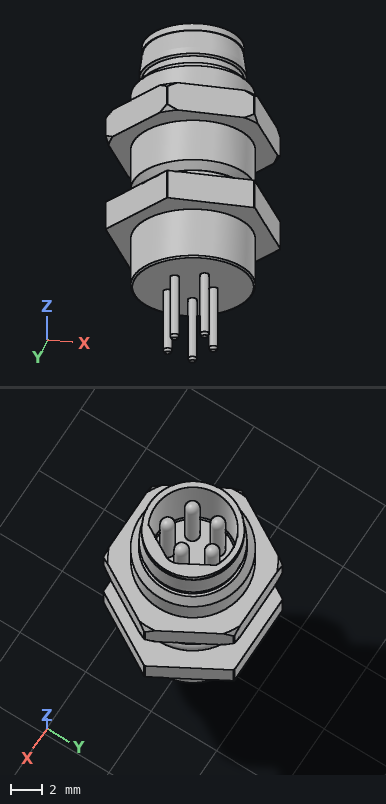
import cadquery as cq
import math

TOTAL_HEIGHT = 22.0
BODY_BOTTOM_Z = 4.49
FLANGE_BOTTOM_Z = 7.99
NUT_BOTTOM_Z = 14.5
HEX_THICKNESS = 2.0
FLANGE_TOP_Z = FLANGE_BOTTOM_Z + HEX_THICKNESS
GROOVE_TOP_Z = 11.1
BODY_TOP_Z = 19.0
BAND_BOTTOM_Z = 19.71
BAND_TOP_Z = 20.17
TAPER_TOP_Z = 21.3
LIP_BOTTOM_Z = 21.5

BODY_RADIUS = 8.0 / 2
BODY_BOTTOM_CHAMFER = 0.1
GROOVE_RADIUS = 6.8 / 2
SHOULDER_CHAMFER = 0.5
SHOULDER_RADIUS = BODY_RADIUS - SHOULDER_CHAMFER
NECK_RADIUS = 6.6 / 2
BAND_RADIUS = 6.9 / 2
BAND_UNDERCUT_HEIGHT = 0.1
TAPER_TOP_RADIUS = 6.6 / 2
LIP_RADIUS = 6.6 / 2
LIP_GROOVE_RADIUS = 6.5 / 2

RING_SECTION_RADIUS = 1.0 / 2
RING_CENTER_RADIUS = BODY_RADIUS - RING_SECTION_RADIUS
RING_Z = (FLANGE_TOP_Z + GROOVE_TOP_Z) / 2

ACROSS_FLATS = 10.0
HEX_CORNER_RADIUS = 11.5 / 2
NUT_CHAMFER_WIDTH = 0.29
NUT_CHAMFER_HEIGHT = 0.33

SOCKET_RADIUS = 2.88
SOCKET_DEPTH = 5.5
SOCKET_FLOOR_CHAMFER = 0.1
KEY_CORNER_X = 1.28
KEY_POINT_HALF_ANGLE = math.radians(60)
KEY_TIP_RADIUS = 1.0

CONTACT_RADIUS = 1.0 / 2
CONTACT_TOP_Z = 21.7
CONTACT_ROOT_DEPTH = 0.22
TAIL_RADIUS = 0.6 / 2
TAIL_TIP_RADIUS = 0.2
TAIL_TIP_HEIGHT = 0.2
PIN_CIRCLE_RADIUS = 1.74
PIN_CIRCLE_ANGLES = (78, 146, 214, 282)
KEY_PIN_X = 1.35


def make_body():
    """Turned body with the groove for the sealing ring and the snap-on collar."""
    profile = [
        (0, BODY_BOTTOM_Z),
        (BODY_RADIUS - BODY_BOTTOM_CHAMFER, BODY_BOTTOM_Z),
        (BODY_RADIUS, BODY_BOTTOM_Z + BODY_BOTTOM_CHAMFER),
        (BODY_RADIUS, FLANGE_TOP_Z),
        (GROOVE_RADIUS, FLANGE_TOP_Z),
        (GROOVE_RADIUS, GROOVE_TOP_Z),
        (SHOULDER_RADIUS, GROOVE_TOP_Z),
        (BODY_RADIUS, GROOVE_TOP_Z + SHOULDER_CHAMFER),
        (BODY_RADIUS, BODY_TOP_Z - SHOULDER_CHAMFER),
        (SHOULDER_RADIUS, BODY_TOP_Z),
        (NECK_RADIUS, BODY_TOP_Z),
        (NECK_RADIUS, BAND_BOTTOM_Z - BAND_UNDERCUT_HEIGHT),
        (BAND_RADIUS, BAND_BOTTOM_Z),
        (BAND_RADIUS, BAND_TOP_Z),
        (TAPER_TOP_RADIUS, TAPER_TOP_Z),
        (LIP_GROOVE_RADIUS, LIP_BOTTOM_Z),
        (LIP_RADIUS, LIP_BOTTOM_Z),
        (LIP_RADIUS, TOTAL_HEIGHT),
        (0, TOTAL_HEIGHT),
    ]
    return cq.Workplane("XZ").polyline(profile).close().revolve(360, (0, 0), (0, 1))


def make_sealing_ring():
    section = cq.Workplane("XZ").center(-RING_CENTER_RADIUS, RING_Z).circle(RING_SECTION_RADIUS)
    return section.revolve(360, (RING_CENTER_RADIUS, 0), (RING_CENTER_RADIUS, 1))


def make_hexagon(bottom_z, chamfer_width=0.0, chamfer_height=0.0):
    """Hexagon with corners on the X axis, trimmed by a turned blank that may be chamfered."""
    plane = cq.Workplane("XY").workplane(offset=bottom_z)
    prism = plane.polygon(6, ACROSS_FLATS / math.cos(math.pi / 6)).extrude(HEX_THICKNESS)
    blank = plane.circle(HEX_CORNER_RADIUS).extrude(HEX_THICKNESS)
    if chamfer_width > 0:
        blank = blank.faces(">Z").chamfer(chamfer_height, chamfer_width)
        blank = blank.faces("<Z").chamfer(chamfer_height, chamfer_width)
    return prism.intersect(blank)


def make_socket():
    """Round pocket whose +X side narrows to a rounded key point."""
    corner_y = math.sqrt(SOCKET_RADIUS**2 - KEY_CORNER_X**2)
    tip_x = KEY_CORNER_X + corner_y / math.tan(KEY_POINT_HALF_ANGLE)
    pocket = (
        cq.Workplane("XY")
        .workplane(offset=TOTAL_HEIGHT - SOCKET_DEPTH)
        .moveTo(KEY_CORNER_X, corner_y)
        .threePointArc((-SOCKET_RADIUS, 0), (KEY_CORNER_X, -corner_y))
        .lineTo(tip_x, 0)
        .close()
        .extrude(SOCKET_DEPTH)
    )
    pocket = pocket.edges("|Z").edges(">X").fillet(KEY_TIP_RADIUS)
    return pocket.faces("<Z").chamfer(SOCKET_FLOOR_CHAMFER)


def make_pin():
    """Thick domed contact inside the socket and thin tail with a pointed end below the body."""
    contact_bottom_z = TOTAL_HEIGHT - SOCKET_DEPTH - CONTACT_ROOT_DEPTH
    half_section = (
        cq.Workplane("XZ")
        .moveTo(0, 0)
        .lineTo(TAIL_TIP_RADIUS, 0)
        .lineTo(TAIL_RADIUS, TAIL_TIP_HEIGHT)
        .lineTo(TAIL_RADIUS, contact_bottom_z)
        .lineTo(CONTACT_RADIUS, contact_bottom_z)
        .lineTo(CONTACT_RADIUS, CONTACT_TOP_Z - CONTACT_RADIUS)
        .radiusArc((0, CONTACT_TOP_Z), -CONTACT_RADIUS)
        .close()
    )
    return half_section.revolve(360, (0, 0), (0, 1))


def pin_positions():
    """One pin behind the key point and the others on a circle about the body axis."""
    positions = [(KEY_PIN_X, 0)]
    for angle in PIN_CIRCLE_ANGLES:
        turn = math.radians(angle)
        positions.append((PIN_CIRCLE_RADIUS * math.cos(turn), PIN_CIRCLE_RADIUS * math.sin(turn)))
    return positions


result = make_body().union(make_sealing_ring())
result = result.union(make_hexagon(FLANGE_BOTTOM_Z))
result = result.union(make_hexagon(NUT_BOTTOM_Z, NUT_CHAMFER_WIDTH, NUT_CHAMFER_HEIGHT))
result = result.cut(make_socket())

pin = make_pin()
for x, y in pin_positions():
    result = result.union(pin.translate((x, y, 0)))